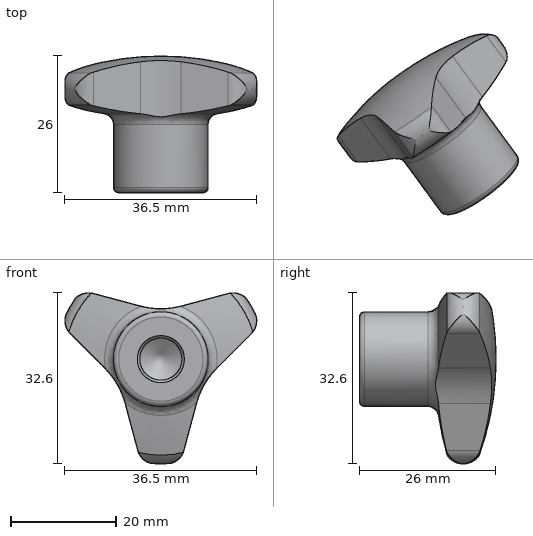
import cadquery as cq
import math

arm_count = 3
tip_radius = 19.95
arm_taper = 15
web_corner_distance = 9.05
web_radius = 14.98
tip_corner_radius = 3.5

crown_height = 6.25
crown_sphere_radius = 53.7
belly_depth = 5.6
belly_sphere_radius = 68.7
rim_start_radius = 18.27

stem_radius = 18.0 / 2
stem_end = -19.75
stem_edge_radius = 1.0
neck_fillet_radius = 2.0
bore_diameter = 8.0
bore_depth = 14.98
bore_chamfer = 0.48
drill_point_angle = 118


def sphere_drop(sphere_radius, radius):
    """Fall of a spherical face from its apex at a given distance from the axis."""
    return sphere_radius - math.sqrt(sphere_radius**2 - radius**2)


def revolve_about_y(profile):
    return profile.close().revolve(360, (0, 0, 0), (0, 1, 0))


def make_head_and_stem():
    half_rim = rim_start_radius / 2
    crown_mid = (half_rim, crown_height - sphere_drop(crown_sphere_radius, half_rim))
    crown_rim = (rim_start_radius, crown_height - sphere_drop(crown_sphere_radius, rim_start_radius))
    belly_rim = (rim_start_radius, sphere_drop(belly_sphere_radius, rim_start_radius) - belly_depth)
    belly_mid = (half_rim, sphere_drop(belly_sphere_radius, half_rim) - belly_depth)
    head = revolve_about_y(
        cq.Workplane("XY")
        .moveTo(0, crown_height)
        .threePointArc(crown_mid, crown_rim)
        .threePointArc((tip_radius, 0), belly_rim)
        .threePointArc(belly_mid, (0, -belly_depth))
    )
    stem = (
        cq.Workplane("XZ")
        .circle(stem_radius)
        .extrude(-stem_end)
        .faces("<Y")
        .edges()
        .fillet(stem_edge_radius)
    )
    neck_y = sphere_drop(belly_sphere_radius, stem_radius) - belly_depth
    margin = 0.2
    neck_edge = cq.selectors.BoxSelector(
        (-stem_radius - margin, neck_y - margin, -stem_radius - margin),
        (stem_radius + margin, neck_y + margin, stem_radius + margin),
        boundingbox=True,
    )
    return head.union(stem).edges(neck_edge).fillet(neck_fillet_radius)


def make_arm_prism():
    """Three tapered arms with rounded webs and tips, as deep as the head and stem."""
    sector = math.pi / arm_count
    web_axial = web_corner_distance * math.cos(sector)
    web_lateral = web_corner_distance * math.sin(sector)
    taper = math.tan(math.radians(arm_taper))
    tip_half_width = web_lateral - (tip_radius - web_axial) * taper

    outline = []
    for arm in range(arm_count):
        angle = -math.pi / 2 + 2 * sector * arm
        c = math.cos(angle)
        s = math.sin(angle)
        for along, across in (
            (tip_radius, -tip_half_width),
            (tip_radius, tip_half_width),
            (web_axial, web_lateral),
        ):
            outline.append((along * c - across * s, along * s + across * c))

    prism = (
        cq.Workplane("XZ", origin=(0, crown_height, 0))
        .polyline(outline)
        .close()
        .extrude(crown_height - stem_end)
    )
    web_reach = (web_corner_distance + tip_radius) / 2

    def is_web(edge):
        return math.hypot(edge.Center().x, edge.Center().z) < web_reach

    corners = prism.edges("|Y").vals()
    webs = [edge for edge in corners if is_web(edge)]
    prism = prism.newObject(webs).fillet(web_radius)
    tips = [edge for edge in prism.edges("|Y").vals() if not is_web(edge)]
    return prism.newObject(tips).fillet(tip_corner_radius)


def make_bore():
    radius = bore_diameter / 2
    point_depth = radius / math.tan(math.radians(drill_point_angle / 2))
    bore_end = stem_end + bore_depth
    return revolve_about_y(
        cq.Workplane("XY")
        .moveTo(0, stem_end)
        .lineTo(radius + bore_chamfer, stem_end)
        .lineTo(radius, stem_end + bore_chamfer)
        .lineTo(radius, bore_end)
        .lineTo(0, bore_end + point_depth)
    )


result = make_head_and_stem().intersect(make_arm_prism()).cut(make_bore())